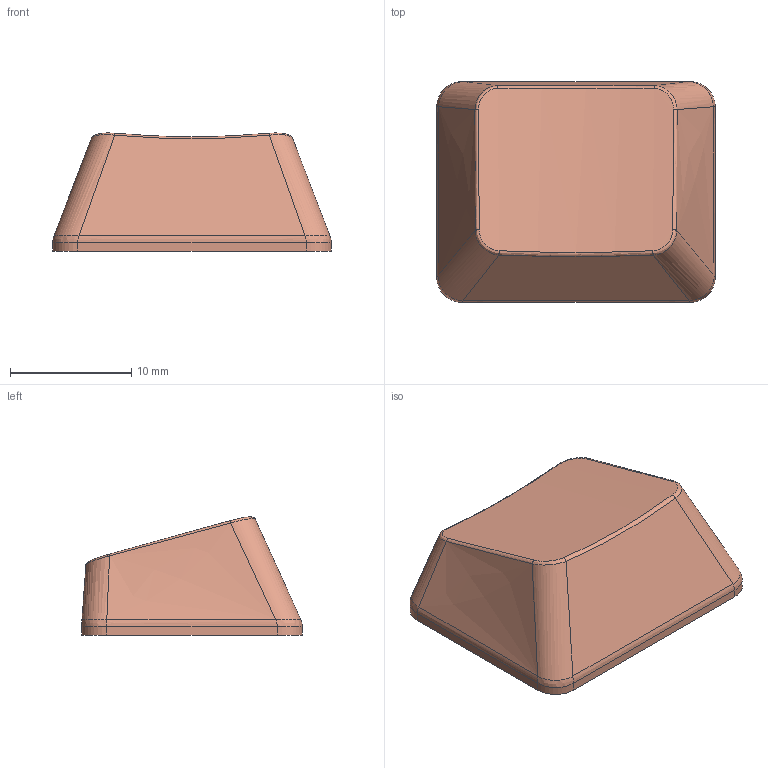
import cadquery as cq
import math

base_length = 22.92
base_width = 18.16
base_corner_radius = 2.05
crease_height = 1.0
shoulder_reach = 0.3
skirt_height = crease_height - shoulder_reach

top_length = 16.4
top_corner_radius = 2.0
top_tilt = 15.5
top_front_y = -5.0
top_back_y = 8.7
top_front_z = 10.0

dish_radius = 64.0
dish_depth = 0.56
rim_fillet = 0.3

tilt = math.radians(top_tilt)
top_run = top_back_y - top_front_y
top_width = top_run / math.cos(tilt)
top_center = (
    0,
    (top_front_y + top_back_y) / 2,
    top_front_z - top_run / 2 * math.tan(tilt),
)
top_plane = cq.Plane(
    origin=top_center,
    xDir=(1, 0, 0),
    normal=(0, math.sin(tilt), math.cos(tilt)),
)


def rounded_rectangle(plane, length, width, radius):
    """Closed wire centred on the plane's origin, with round corners."""
    half_x = length / 2
    half_y = width / 2
    flat_x = half_x - radius
    flat_y = half_y - radius
    return (
        cq.Workplane(plane)
        .moveTo(-flat_x, -half_y)
        .lineTo(flat_x, -half_y)
        .radiusArc((half_x, -flat_y), -radius)
        .lineTo(half_x, flat_y)
        .radiusArc((flat_x, half_y), -radius)
        .lineTo(-flat_x, half_y)
        .radiusArc((-half_x, flat_y), -radius)
        .lineTo(-half_x, -flat_y)
        .radiusArc((-flat_x, -half_y), -radius)
        .close()
    )


def make_skirt():
    plane = cq.Plane.XY()
    return rounded_rectangle(plane, base_length, base_width, base_corner_radius).extrude(skirt_height)


def make_walls():
    """Ruled walls leaning in from the crease height to the tilted top."""
    foot_plane = cq.Plane.XY(origin=(0, 0, crease_height))
    foot = rounded_rectangle(foot_plane, base_length, base_width, base_corner_radius)
    top = rounded_rectangle(top_plane, top_length, top_width, top_corner_radius)
    return cq.Workplane(cq.Solid.makeLoft([foot.val(), top.val()], True))


def walls_above(walls, height):
    """Part of the walls above a level cut."""
    cutter = cq.Workplane(cq.Plane.XY(origin=(0, 0, height)))
    cutter = cutter.rect(2 * base_length, 2 * base_width).extrude(2 * top_front_z)
    return walls.intersect(cutter)


def make_shoulder(walls):
    """Loft that leaves the skirt upright and bends parabolically into the walls."""
    sections = []
    for progress in (0, 0.5, 1):
        wall_height = crease_height + shoulder_reach * progress**2
        section_height = skirt_height + 2 * shoulder_reach * progress
        outline = walls_above(walls, wall_height).faces("<Z").val().outerWire()
        sections.append(outline.translate(cq.Vector(0, 0, section_height - wall_height)))
    return cq.Workplane(cq.Solid.makeLoft(sections))


def make_dish():
    """Cylinder lying along the fall line, reaching past the top at both ends."""
    axis_plane = cq.Plane(
        origin=top_center,
        xDir=(1, 0, 0),
        normal=(0, -math.cos(tilt), math.sin(tilt)),
    )
    return (
        cq.Workplane(axis_plane)
        .center(0, dish_radius - dish_depth)
        .circle(dish_radius)
        .extrude(top_width, both=True)
    )


def make_keycap():
    walls = make_walls()
    upper_walls = walls_above(walls, crease_height + shoulder_reach)
    body = make_skirt().union(make_shoulder(walls)).union(upper_walls)
    body = body.cut(make_dish())
    return body.faces(">Z").edges().fillet(rim_fillet)


result = make_keycap()